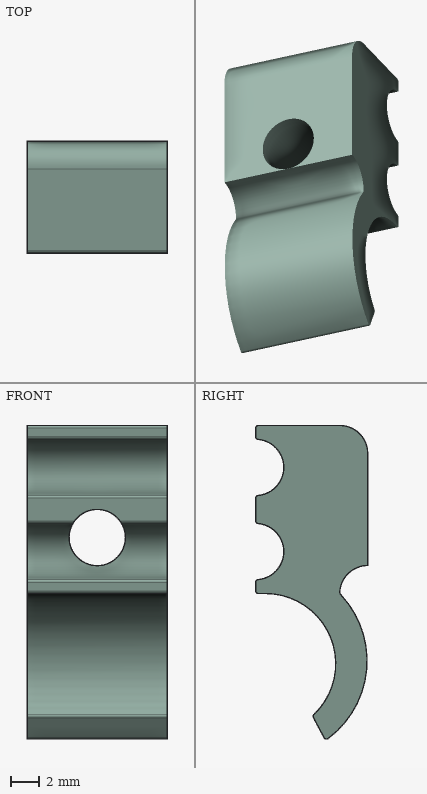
import cadquery as cq
import math

width = 10.0
depth = 8.0
block_height = 12.0
back_top_radius = 2.0
edge_radius = 0.2

groove_radius = 2.0
groove_heights = (-3.0, -9.0)

hole_diameter = 4.0
hole_height = -8.0

notch_radius = 2.0
neck_radius = 0.3
notch_middle_angle = math.radians(135)

bore_radius = 5.0
bore_y = 0.7
bore_z = -block_height - bore_radius
arm_radius = 6.9
arm_y = 1.05
arm_z = -16.8

tip_bore_angle = math.radians(-48)
tip_slope = math.radians(28)


def point_on_circle(center_y, center_z, radius, angle):
    """Point on a circle in the YZ plane, angle measured from +Y towards +Z."""
    return (center_y + radius * math.cos(angle), center_z + radius * math.sin(angle))


def neck_point():
    """Point where the notch meets the outer arc of the arm."""
    offset_y = arm_y - depth
    offset_z = arm_z + block_height
    distance = math.hypot(offset_y, offset_z)
    cosine = (notch_radius**2 + distance**2 - arm_radius**2) / (2 * notch_radius * distance)
    angle = math.atan2(offset_z, offset_y) - math.acos(cosine)
    return point_on_circle(depth, -block_height, notch_radius, angle)


def arm_tip_points():
    """Inner and outer corners of the end face of the arm, before rounding."""
    inner = point_on_circle(bore_y, bore_z, bore_radius, tip_bore_angle)
    slope_y = math.sin(tip_slope)
    slope_z = -math.cos(tip_slope)
    offset_y = inner[0] - arm_y
    offset_z = inner[1] - arm_z
    along = offset_y * slope_y + offset_z * slope_z
    gap = arm_radius**2 - offset_y**2 - offset_z**2
    face_length = -along + math.sqrt(along**2 + gap)
    outer = (inner[0] + face_length * slope_y, inner[1] + face_length * slope_z)
    return inner, outer


def make_body():
    """Side profile of block and arm, extruded across the width."""
    tip_inner, tip_outer = arm_tip_points()
    notch_middle = point_on_circle(depth, -block_height, notch_radius, notch_middle_angle)
    return (
        cq.Workplane("YZ")
        .moveTo(0, 0)
        .lineTo(depth, 0)
        .lineTo(depth, notch_radius - block_height)
        .threePointArc(notch_middle, neck_point())
        .threePointArc((arm_y + arm_radius, arm_z), tip_outer)
        .lineTo(*tip_inner)
        .threePointArc((bore_y + bore_radius, bore_z), (bore_y, -block_height))
        .lineTo(0, -block_height)
        .close()
        .extrude(width / 2, both=True)
    )


def cut_grooves(body):
    for height in groove_heights:
        groove = (
            cq.Workplane("YZ")
            .center(0, height)
            .circle(groove_radius)
            .extrude(width / 2, both=True)
        )
        body = body.cut(groove)
    return body


def edge_at(body, point):
    """Edge along X that passes closest to a point (y, z)."""
    return body.edges("|X").edges(cq.NearestToPointSelector((0, *point)))


def round_edges(body):
    body = edge_at(body, (depth, 0)).fillet(back_top_radius)
    body = edge_at(body, neck_point()).fillet(neck_radius)
    for corner in arm_tip_points():
        body = edge_at(body, corner).fillet(edge_radius)
    return body.faces("<Y").edges("|X").fillet(edge_radius)


def cut_hole(body):
    hole = (
        cq.Workplane("XZ")
        .center(0, hole_height)
        .circle(hole_diameter / 2)
        .extrude(-depth)
    )
    return body.cut(hole)


result = cut_hole(round_edges(cut_grooves(make_body())))